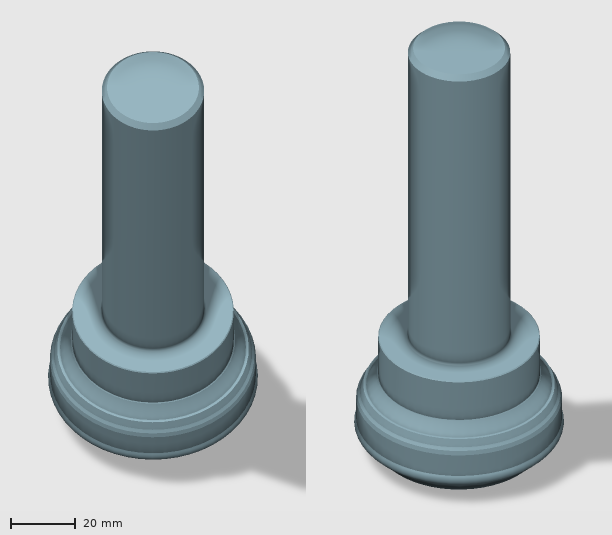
import cadquery as cq

total_height = 149.0
shaft_radius = 31.7 / 2
collar_radius = 50.0 / 2
head_radius = 63.8 / 2
pad_radius = 65.0 / 2

pad_top = 9.5
head_side_top = 17.3
rim_round_bottom = 18.6
rim_cone_bottom = 19.5
ledge_level = 21.9
collar_bottom = 26.0
collar_top = 40.4

shaft_end_chamfer = 1.6
shaft_foot_fillet = 0.7
collar_edge_chamfer = 0.3
collar_ledge_width = 0.5
ledge_inner_radius = 28.8
ledge_outer_radius = 29.7
rim_cone_radius = 30.7
rim_round_radius = 31.5

pad_face_radius = 25.6
pad_taper_top = 6.4
bulge_level = (pad_taper_top + pad_top) / 2


def make_stud():
    """Revolve the shaft, collar and stepped head about Z."""
    profile = (
        cq.Workplane("XZ")
        .moveTo(0, pad_top)
        .lineTo(head_radius, pad_top)
        .lineTo(head_radius, head_side_top)
        .lineTo(rim_round_radius, rim_round_bottom)
        .lineTo(rim_cone_radius, rim_cone_bottom)
        .lineTo(ledge_outer_radius, ledge_level)
        .lineTo(ledge_inner_radius, ledge_level)
        .lineTo(collar_radius + collar_ledge_width, collar_bottom)
        .lineTo(collar_radius, collar_bottom)
        .lineTo(collar_radius, collar_top - collar_edge_chamfer)
        .lineTo(collar_radius - collar_edge_chamfer, collar_top)
        .lineTo(shaft_radius + shaft_foot_fillet, collar_top)
        .radiusArc((shaft_radius, collar_top + shaft_foot_fillet), shaft_foot_fillet)
        .lineTo(shaft_radius, total_height - shaft_end_chamfer)
        .lineTo(shaft_radius - shaft_end_chamfer, total_height)
        .lineTo(0, total_height)
        .close()
    )
    return profile.revolve(360, (0, 0, 0), (0, 1, 0))


def make_pad():
    """Revolve the pad, which bulges past the head and tapers to its flat face."""
    profile = (
        cq.Workplane("XZ")
        .lineTo(pad_face_radius, 0)
        .lineTo(head_radius, pad_taper_top)
        .threePointArc((pad_radius, bulge_level), (head_radius, pad_top))
        .lineTo(0, pad_top)
        .close()
    )
    return profile.revolve(360, (0, 0, 0), (0, 1, 0))


stud = make_stud()
pad = make_pad()

result = cq.Compound.makeCompound([stud.val(), pad.val()])